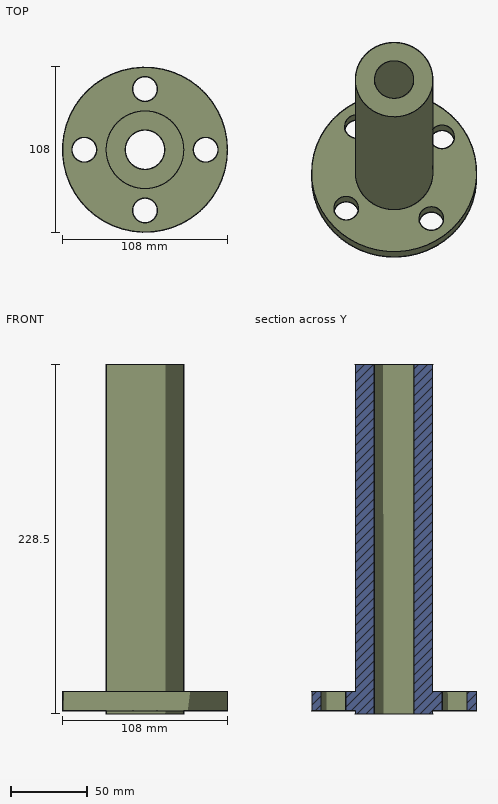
import cadquery as cq

total_height = 228.5

flange_diameter = 108.0
flange_thickness = 12.8
face_diameter = 50.7
face_height = 2.0

neck_diameter = 50.7
bore_diameter = 25.5

bolt_hole_count = 4
bolt_hole_diameter = 16.0
bolt_circle_diameter = 79.3

flange_top = face_height + flange_thickness


def cylinder(diameter, bottom, top):
    """Upright cylinder on the Z axis between two heights."""
    return cq.Workplane("XY").workplane(offset=bottom).circle(diameter / 2).extrude(top - bottom)


raised_face = cylinder(face_diameter, 0, face_height)
flange = cylinder(flange_diameter, face_height, flange_top)
neck = cylinder(neck_diameter, flange_top, total_height)
body = raised_face.union(flange).union(neck)

bore = cylinder(bore_diameter, 0, total_height)

bolt_holes = (
    cq.Workplane("XY")
    .workplane(offset=face_height)
    .polarArray(bolt_circle_diameter / 2, 0, 360, bolt_hole_count)
    .circle(bolt_hole_diameter / 2)
    .extrude(flange_thickness)
)

result = body.cut(bore).cut(bolt_holes)